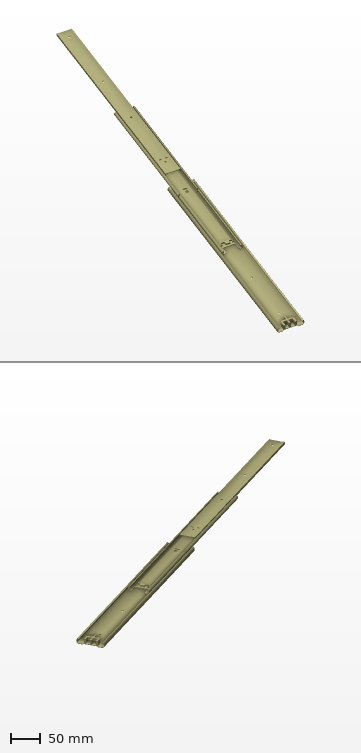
import cadquery as cq

overall_length = 838.0
slide_top = 12.5
sheet = 1.25
hole_diameter = 4.0

outer_start = 433.0
outer_half_width = 25.6
outer_height = 10.0
outer_floor_half_width = 21.0
outer_corner_half_width = 25.0
outer_corner_z = 2.5
outer_crest_half_width = 23.9
outer_lip_half_width = 21.4
outer_lip_drop = 1.25
outer_holes_x = [693.0, 794.0]
end_notch_depth = 2.5
end_notch_half_width = 13.0

cup_length = 12.5
cup_half_width = 12.5
cup_top = 10.0
cup_wall = 3.0
cup_rib_length = 7.5
cup_rib_width = 2.5
cup_corner_radius = 4.0

middle_start = 223.0
middle_end = 623.0
middle_bottom = 2.9
middle_floor_half_width = 10.0
middle_floor_top = 7.1
middle_valley_half_width = 16.0
middle_shoulder_half_width = 18.0
middle_shoulder_z = 4.6
middle_bulge_half_width = 19.7
middle_bulge_z = 8.8
middle_crest_half_width = 18.5
middle_crest_z = 11.3
middle_top_half_width = 17.2
middle_lip_drop = 1.0
middle_lip_half_width = 16.0
middle_hem_bottom = 8.0
middle_notch_x = 461.0
middle_notch_width = 3.0
middle_notch_half_width = 15.0
middle_hole_x = 454.0
middle_hole_diameter = 6.0
middle_slot_x = 447.0
middle_slot_length = 8.0
middle_slot_width = 3.0
floor_cutback = 13.0
floor_cutback_half_width = 12.0

tab_start = 599.5
tab_end = 606.0
tab_hole_x = 604.0
tab_hole_y = 11.0
tab_half_width = 10.0
tab_height = 3.0
tab_block_half_width = 4.0

inner_length = 402.5
inner_half_width = 14.0
inner_top_drop = 0.4
inner_flange_height = 4.6
inner_holes_x = [18.5, 145.0, 248.0, 375.0]
inner_slot_x = 366.0
inner_slot_y = 5.45
inner_slot_length = 5.0
inner_slot_width = 2.5
inner_step_length = 4.0
inner_step_half_width = 10.0
inner_step_depth = 0.4


def rail(half_outline, start, end):
    """Extrude a half section along X and mirror it about the XZ plane."""
    half = half_outline.close().extrude(end - start)
    return half.union(half.mirror("XZ")).translate((start, 0, 0))


def block(x0, x1, half_width, z0, z1):
    """Box centred on y = 0."""
    size = (x1 - x0, 2 * half_width, z1 - z0)
    return cq.Workplane("XY").box(*size, centered=(False, True, False)).translate((x0, 0, z0))


def round_holes(x_places, diameter, y_places=(0,)):
    """Vertical cutters through the whole slide."""
    places = [(x, y) for x in x_places for y in y_places]
    return cq.Workplane("XY").pushPoints(places).circle(diameter / 2).extrude(slide_top)


def cross_slots(x, y_places, length, width):
    """Vertical cutters for round-ended slots that run along Y."""
    places = [(x, y) for y in y_places]
    return cq.Workplane("XY").pushPoints(places).slot2D(length, width, 90).extrude(slide_top)


def end_cup():
    """Stop cup, open towards the far end and split by a centre rib."""
    end = overall_length - end_notch_depth
    start = end - cup_length
    cup = block(start, end, cup_half_width, sheet, cup_top)
    cup = cup.edges("|Z and <X").fillet(cup_corner_radius)
    hollow = block(start + cup_wall, end, cup_half_width - cup_wall, sheet, cup_top)
    rib = block(start - cup_rib_length, end, cup_rib_width / 2, sheet, cup_top)
    return cup.cut(hollow).union(rib)


def make_outer_rail():
    wall_middle_z = outer_height / 2
    lip_z = outer_height - outer_lip_drop
    section = (
        cq.Workplane("YZ")
        .lineTo(outer_floor_half_width, 0)
        .tangentArcPoint((outer_corner_half_width, outer_corner_z), relative=False)
        .threePointArc((outer_half_width, wall_middle_z), (outer_crest_half_width, outer_height))
        .lineTo(outer_lip_half_width, lip_z)
        .lineTo(outer_lip_half_width, lip_z - sheet)
        .lineTo(outer_crest_half_width - sheet / 2, outer_height - sheet)
        .threePointArc(
            (outer_half_width - sheet, wall_middle_z),
            (outer_corner_half_width - sheet, outer_corner_z),
        )
        .lineTo(outer_floor_half_width, sheet)
        .lineTo(0, sheet)
    )
    body = rail(section, outer_start, overall_length)
    body = body.cut(round_holes(outer_holes_x, hole_diameter))
    notch_start = overall_length - end_notch_depth
    body = body.cut(block(notch_start, overall_length, end_notch_half_width, 0, outer_height))
    return body.union(end_cup())


def edge_notches():
    """Cutter for the narrow notches across both side walls of the middle rail."""
    start = middle_notch_x - middle_notch_width / 2
    end = start + middle_notch_width
    full_width = block(start, end, outer_half_width, 0, slide_top)
    return full_width.cut(block(start, end, middle_notch_half_width, 0, slide_top))


def stop_tab():
    """Upright tab on the raised floor, with a block behind its middle."""
    top = middle_floor_top + tab_height
    tab = block(tab_start, tab_start + sheet, tab_half_width, middle_floor_top, top)
    return tab.union(block(tab_start, tab_end, tab_block_half_width, middle_floor_top, top))


def make_middle_rail():
    lip_z = slide_top - middle_lip_drop
    section = (
        cq.Workplane("YZ")
        .moveTo(0, middle_floor_top - sheet)
        .lineTo(middle_floor_half_width, middle_floor_top - sheet)
        .lineTo(middle_valley_half_width, middle_bottom)
        .lineTo(middle_shoulder_half_width, middle_shoulder_z)
        .threePointArc(
            (middle_bulge_half_width, middle_bulge_z),
            (middle_crest_half_width, middle_crest_z),
        )
        .tangentArcPoint((middle_top_half_width, slide_top), relative=False)
        .lineTo(middle_lip_half_width, lip_z)
        .lineTo(middle_lip_half_width, middle_hem_bottom)
        .lineTo(middle_bulge_half_width - sheet, middle_hem_bottom)
        .lineTo(middle_shoulder_half_width - sheet, middle_shoulder_z + sheet / 2)
        .lineTo(middle_valley_half_width, middle_bottom + sheet)
        .lineTo(middle_floor_half_width, middle_floor_top)
        .lineTo(0, middle_floor_top)
    )
    body = rail(section, middle_start, middle_end)

    floor_end = middle_end - floor_cutback
    body = body.cut(block(floor_end, middle_end, floor_cutback_half_width, 0, slide_top))
    body = body.cut(round_holes([middle_hole_x], middle_hole_diameter))
    body = body.cut(cross_slots(middle_slot_x, [0], middle_slot_length, middle_slot_width))
    body = body.cut(round_holes([tab_hole_x], hole_diameter, [-tab_hole_y, tab_hole_y]))
    return body.cut(edge_notches()).union(stop_tab())


def make_inner_rail():
    plate_top = slide_top - inner_top_drop
    flange_bottom = plate_top - inner_flange_height
    plate_bottom = plate_top - sheet
    section = (
        cq.Workplane("YZ")
        .moveTo(0, plate_top)
        .lineTo(inner_half_width, plate_top)
        .lineTo(inner_half_width, flange_bottom)
        .lineTo(inner_half_width - sheet, flange_bottom)
        .lineTo(inner_half_width - sheet, plate_bottom)
        .lineTo(0, plate_bottom)
    )
    body = rail(section, 0, inner_length)
    body = body.cut(round_holes(inner_holes_x, hole_diameter))
    step_bottom = plate_top - inner_step_depth
    body = body.cut(block(0, inner_step_length, inner_step_half_width, step_bottom, plate_top))
    slots_y = [-inner_slot_y, inner_slot_y]
    return body.cut(cross_slots(inner_slot_x, slots_y, inner_slot_length, inner_slot_width))


outer_rail = make_outer_rail()
middle_rail = make_middle_rail()
inner_rail = make_inner_rail()
result = cq.Compound.makeCompound([outer_rail.val(), middle_rail.val(), inner_rail.val()])